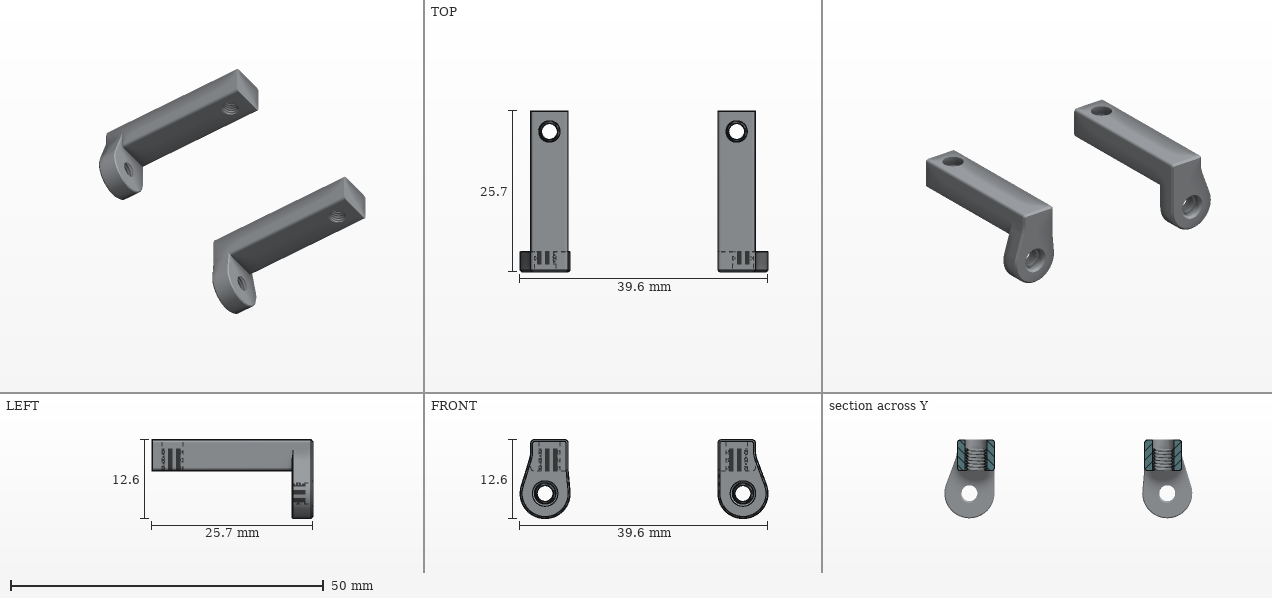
import cadquery as cq
import math

overall_width = 39.6
arm_length = 25.7

bar_width = 5.98
bar_height = 5.0
bar_top = 8.6
bar_bottom = bar_top - bar_height
bar_edge_radius = 0.5

lug_radius = 4.0
lug_thickness = 3.33
lug_center_x = overall_width / 2 - lug_radius
shoulder_height = 6.15
shoulder_radius = 5.0
front_chamfer = 0.3
rear_chamfer = 0.15

left_outer_offset = 2.3
right_outer_offset = lug_radius - (2 * lug_radius - bar_width)

insert_diameter = 3.4
lug_insert_length = 2.0
bar_insert_length = 3.52
countersink_diameter = 4.08
countersink_depth = (countersink_diameter - insert_diameter) / 2
bar_hole_y = arm_length - 3.25
thread_minor_diameter = 2.55
thread_major_diameter = 3.1
thread_pitch = 0.5
thread_mouth_width = 0.3
thread_root_width = 0.08
thread_run_out = 0.28
thread_exit_angle = 260.0


def tangent_angle(offset, height):
    """Angle above horizontal of the point where a line from (offset, height) touches the lug round."""
    distance = math.hypot(offset, height)
    return math.atan2(height, offset) - math.acos(min(1.0, lug_radius / distance))


def on_lug_round(angle, side):
    return (side * lug_radius * math.cos(angle), lug_radius * math.sin(angle))


def lug_outline(outer_offset, outer):
    """Front outline about the hole axis; outer is the direction, +1 or -1, of the swollen side."""
    inner = -outer
    inner_offset = bar_width - outer_offset
    outer_angle = tangent_angle(outer_offset, shoulder_height)
    inner_angle = tangent_angle(inner_offset, bar_bottom)

    setback = shoulder_radius * math.tan(outer_angle / 2)
    arc_top = (outer * outer_offset, shoulder_height + setback)
    arc_middle = (
        outer * (outer_offset + shoulder_radius * (1 - math.cos(outer_angle / 2))),
        arc_top[1] - shoulder_radius * math.sin(outer_angle / 2),
    )
    arc_bottom = (
        outer * (outer_offset + setback * math.sin(outer_angle)),
        shoulder_height - setback * math.cos(outer_angle),
    )
    return (
        cq.Workplane("XZ")
        .moveTo(inner * inner_offset, bar_top)
        .lineTo(outer * outer_offset, bar_top)
        .lineTo(*arc_top)
        .threePointArc(arc_middle, arc_bottom)
        .lineTo(*on_lug_round(outer_angle, outer))
        .threePointArc((0, -lug_radius), on_lug_round(inner_angle, inner))
        .lineTo(inner * inner_offset, bar_bottom)
        .close()
    )


def make_arm(outer_offset, outer):
    """Bar and lug in one piece, with the lug hole axis on X = 0, Z = 0."""
    lug = (
        lug_outline(outer_offset, outer)
        .extrude(-lug_thickness)
        .edges("|Y and >Z")
        .fillet(bar_edge_radius)
        .faces("<Y")
        .chamfer(front_chamfer)
        .faces(">Y")
        .chamfer(rear_chamfer)
    )
    bar_start = lug_thickness / 2
    bar = (
        cq.Workplane("XY")
        .box(bar_width, arm_length - bar_start, bar_height, centered=(True, False, False))
        .edges("|Y")
        .fillet(bar_edge_radius)
        .translate((bar_center_x(outer_offset, outer), bar_start, bar_bottom))
    )
    return lug.union(bar).cut(lug_hole()).cut(bar_hole(outer_offset, outer))


def bar_center_x(outer_offset, outer):
    return outer * (outer_offset - bar_width / 2)


def lug_hole():
    """Through hole for the lug insert, countersunk at the front."""
    hole = cq.Workplane("XZ").circle(insert_diameter / 2).extrude(-lug_thickness)
    countersink = (
        cq.Workplane("XZ")
        .circle(countersink_diameter / 2)
        .workplane(offset=-countersink_depth)
        .circle(insert_diameter / 2)
        .loft()
    )
    return hole.union(countersink)


def bar_hole(outer_offset, outer):
    """Vertical through hole for the bar insert, near the rear end of the bar."""
    return (
        cq.Workplane("XY")
        .circle(insert_diameter / 2)
        .extrude(bar_height)
        .translate((bar_center_x(outer_offset, outer), bar_hole_y, bar_bottom))
    )


def thread_groove(length):
    """Helical groove along +Z of whole turns that runs out past both ends of an insert of this length."""
    crest_radius = thread_minor_diameter / 2
    root_radius = thread_major_diameter / 2
    overlap = 0.08
    flank_slope = (thread_mouth_width - thread_root_width) / 2 / (root_radius - crest_radius)
    inner_half_width = min(thread_mouth_width / 2 + overlap * flank_slope, 0.49 * thread_pitch)
    profile = [
        (crest_radius - overlap, -inner_half_width),
        (root_radius, -thread_root_width / 2),
        (root_radius, thread_root_width / 2),
        (crest_radius - overlap, inner_half_width),
    ]
    turns = math.ceil((length + 2 * thread_run_out) / thread_pitch)
    helix = cq.Wire.makeHelix(thread_pitch, turns * thread_pitch, crest_radius)
    groove = cq.Workplane("XZ").polyline(profile).close().sweep(cq.Workplane(helix), isFrenet=True)
    return groove.translate((0, 0, -thread_run_out))


def make_insert(length):
    """Threaded sleeve that stands on Z = 0, its axis along Z."""
    sleeve = (
        cq.Workplane("XY")
        .circle(insert_diameter / 2)
        .circle(thread_minor_diameter / 2)
        .extrude(length)
    )
    end_angle = 90
    angle_at_top = 360 * (length + thread_run_out) / thread_pitch
    groove = thread_groove(length).rotate((0, 0, 0), (0, 0, 1), end_angle - angle_at_top)
    return sleeve.cut(groove).rotate((0, 0, 0), (0, 0, 1), thread_exit_angle - end_angle)


lug_insert = make_insert(lug_insert_length).rotate((0, 0, 0), (1, 0, 0), 90).translate((0, lug_thickness, 0))
bar_insert = make_insert(bar_insert_length)

bodies = []
for side, outer_offset in ((-1, left_outer_offset), (1, right_outer_offset)):
    axis_x = side * lug_center_x
    arm = make_arm(outer_offset, side).translate((axis_x, 0, 0))
    insert_x = axis_x + bar_center_x(outer_offset, side)
    bodies.append(arm.val())
    bodies.append(lug_insert.translate((axis_x, 0, 0)).val())
    bodies.append(bar_insert.translate((insert_x, bar_hole_y, bar_bottom)).val())

result = cq.Compound.makeCompound(bodies)